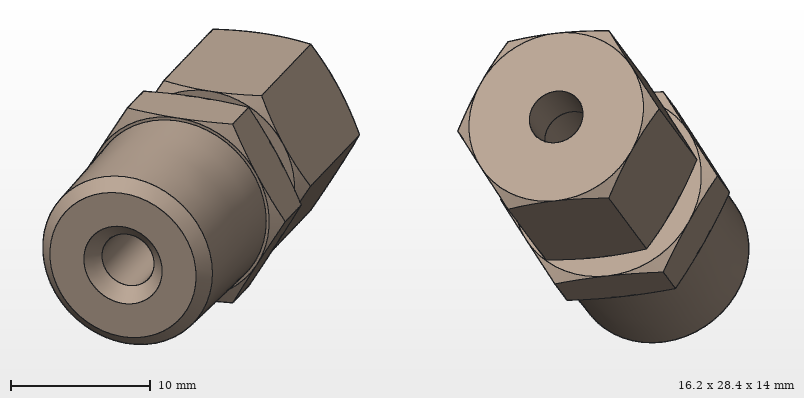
import cadquery as cq
import math


total_length = 28.35
nut_length = 11.0
thread_length = 11.0
collar_length = 4.0
bare_neck_length = total_length - nut_length - thread_length - collar_length
neck_engagement = 7.0
neck_length = bare_neck_length + neck_engagement

collar_flats = 14.0
nut_flats = 13.0
collar_chamfer_angle = 20.0
nut_chamfer_angle = 30.0

neck_diameter = 10.0
thread_base_diameter = 13.55
thread_end_diameter = 13.05
thread_chamfer = 0.9
nut_mouth_diameter = 10.5
bore_diameter = 4.0
countersink_diameter = 6.0
nut_mouth_depth = (nut_mouth_diameter - neck_diameter) / 2
countersink_depth = (countersink_diameter - bore_diameter) / 2

thread_start = -total_length / 2
collar_start = thread_start + thread_length
neck_start = collar_start + collar_length
nut_start = neck_start + bare_neck_length
neck_end = neck_start + neck_length


def revolved(profile):
    """Revolve (radius, y) points about the Y axis."""
    return cq.Workplane("XY").polyline(profile).close().revolve(360, (0, 0, 0), (0, 1, 0))


def chamfered_hexagon(flats, start, length, chamfer_angle):
    """Hexagonal prism along Y whose corners are turned off by a cone at both ends."""
    corner_radius = flats / math.sqrt(3)
    face_radius = flats / 2
    chamfer_depth = (corner_radius - face_radius) * math.tan(math.radians(chamfer_angle))
    end = start + length

    prism = (
        cq.Workplane("XZ", origin=(0, start, 0))
        .polygon(6, 2 * corner_radius)
        .extrude(-length)
    )
    turning = revolved([
        (0, start),
        (face_radius, start),
        (corner_radius, start + chamfer_depth),
        (corner_radius, end - chamfer_depth),
        (face_radius, end),
        (0, end),
    ])
    return prism.intersect(turning)


def cylinder(diameter, start, length):
    return cq.Workplane("XZ", origin=(0, start, 0)).circle(diameter / 2).extrude(-length)


def make_fitting():
    """Tapered thread end, hexagonal collar and neck, with a countersunk bore."""
    thread_end_radius = thread_end_diameter / 2
    thread = revolved([
        (0, thread_start),
        (thread_end_radius - thread_chamfer, thread_start),
        (thread_end_radius, thread_start + thread_chamfer),
        (thread_base_diameter / 2, collar_start),
        (0, collar_start),
    ])
    collar = chamfered_hexagon(collar_flats, collar_start, collar_length, collar_chamfer_angle)
    neck = cylinder(neck_diameter, neck_start, neck_length)
    bore = cylinder(bore_diameter, thread_start, neck_end - thread_start)
    countersink = revolved([
        (0, thread_start),
        (countersink_diameter / 2, thread_start),
        (bore_diameter / 2, thread_start + countersink_depth),
        (0, thread_start + countersink_depth),
    ])
    return thread.union(collar).union(neck).cut(bore).cut(countersink)


def make_nut():
    """Hexagonal nut with a recess for the neck, a chamfered mouth and the bore carried through."""
    body = chamfered_hexagon(nut_flats, nut_start, nut_length, nut_chamfer_angle)
    recess = cylinder(neck_diameter, nut_start, neck_engagement)
    bore = cylinder(bore_diameter, nut_start, nut_length)
    mouth = revolved([
        (0, nut_start),
        (nut_mouth_diameter / 2, nut_start),
        (neck_diameter / 2, nut_start + nut_mouth_depth),
        (0, nut_start + nut_mouth_depth),
    ])
    return body.cut(recess).cut(bore).cut(mouth)


fitting = make_fitting().solids()
nut = make_nut().solids()

result = cq.Compound.makeCompound([fitting.val(), nut.val()])